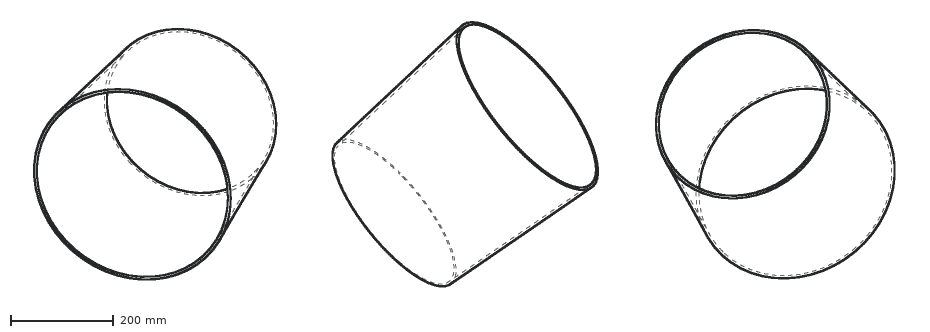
import cadquery as cq

large_diameter = 406.4
small_diameter = 355.6
length = 356.0
wall = 6.0

large_radius = large_diameter / 2
small_radius = small_diameter / 2


def reducer():
    """Revolve the tapered wall section about the Y axis."""
    wall_section = [
        (large_radius - wall, 0),
        (large_radius, 0),
        (small_radius, length),
        (small_radius - wall, length),
    ]
    return (
        cq.Workplane("XY")
        .polyline(wall_section)
        .close()
        .revolve(360, (0, 0, 0), (0, 1, 0))
    )


result = reducer()